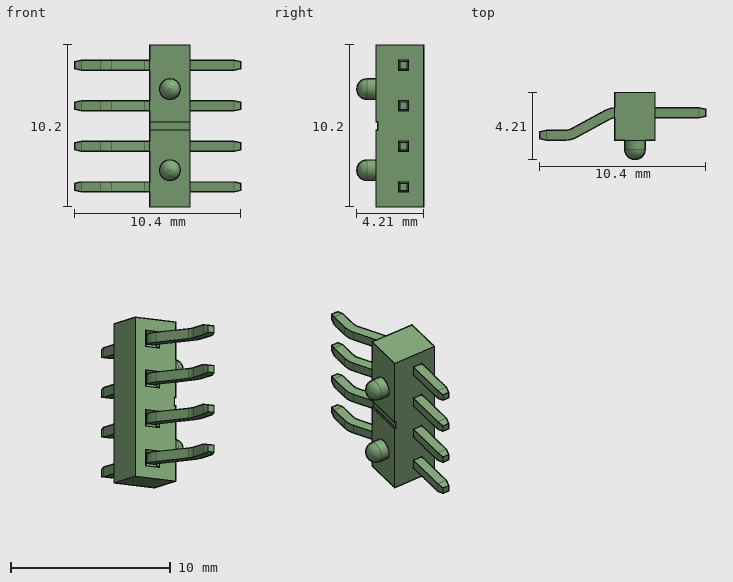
import cadquery as cq
import math

pin_pitch = 2.54
pin_count = 4
row_length = 10.16

housing_width = 2.54
housing_depth = 3.0

slot_height = 0.52
slot_depth = 0.1

peg_diameter = 1.3
peg_length = 1.21
peg_edge_radius = 0.63
peg_spacing = 2 * pin_pitch
peg_middle_z = -0.23

pin_size = 0.63
pin_tip_size = 0.45
pin_tip_length = 0.42
pin_axis_y = 1.73
pin_left_reach = 4.69
total_length = 10.4
foot_length = 1.6
bend_angle = math.radians(28.5)
bend_radius = 1.14

recess_size = 1.04
recess_depth = 0.21

housing_left = -housing_width / 2
housing_right = housing_width / 2
pin_left_end = housing_left - pin_left_reach
pin_right_end = pin_left_end + total_length
foot_axis_y = pin_size / 2
pin_heights = [(i - (pin_count - 1) / 2) * pin_pitch for i in range(pin_count)]
peg_heights = [peg_middle_z + side * peg_spacing / 2 for side in (-1, 1)]


def square_taper(start_x, end_x, start_size, end_size, axis_y, z):
    """Square section along X that changes evenly from one size to another."""
    return (
        cq.Workplane("YZ", origin=(start_x, axis_y, z))
        .rect(start_size, start_size)
        .workplane(offset=end_x - start_x)
        .rect(end_size, end_size)
        .loft(ruled=True)
    )


def make_peg(z):
    """Locating peg with a rounded end, standing out from the mounting face."""
    return (
        cq.Workplane("XZ", origin=(0, 0, z))
        .circle(peg_diameter / 2)
        .extrude(peg_length)
        .faces("<Y")
        .edges()
        .fillet(peg_edge_radius)
    )


def make_pin_opening(z):
    """Tapered recess in the -X face that narrows to the square hole for a pin."""
    recess_floor = housing_left + recess_depth
    recess = square_taper(housing_left, recess_floor, recess_size, pin_size, pin_axis_y, z)
    hole = square_taper(recess_floor, housing_right, pin_size, pin_size, pin_axis_y, z)
    return recess.union(hole)


def make_housing():
    """Block with two locating pegs, a slot across the mounting face and the pin openings."""
    body = cq.Workplane("XY").box(housing_width, housing_depth, row_length).translate((0, housing_depth / 2, 0))
    slot = cq.Workplane("XY").box(housing_width, 2 * slot_depth, slot_height)
    body = body.cut(slot)
    for z in peg_heights:
        body = body.union(make_peg(z))
    for z in pin_heights:
        body = body.cut(make_pin_opening(z))
    return body


def make_pin(z):
    """Square pin with an S-bend down to its foot and a tapered tip at each end."""
    arc_run = bend_radius * math.sin(bend_angle)
    arc_rise = bend_radius * (1 - math.cos(bend_angle))
    half_run = bend_radius * math.sin(bend_angle / 2)
    half_rise = bend_radius * (1 - math.cos(bend_angle / 2))
    slope_rise = pin_axis_y - foot_axis_y - 2 * arc_rise
    slope_run = slope_rise / math.tan(bend_angle)

    first_bend_x = pin_left_end + foot_length
    slope_start = (first_bend_x + arc_run, foot_axis_y + arc_rise)
    slope_end = (slope_start[0] + slope_run, pin_axis_y - arc_rise)
    last_bend_x = slope_end[0] + arc_run
    foot_shoulder_x = pin_left_end + pin_tip_length
    tail_shoulder_x = pin_right_end - pin_tip_length

    centre_line = (
        cq.Workplane("XY", origin=(0, 0, z))
        .moveTo(foot_shoulder_x, foot_axis_y)
        .lineTo(first_bend_x, foot_axis_y)
        .threePointArc((first_bend_x + half_run, foot_axis_y + half_rise), slope_start)
        .lineTo(*slope_end)
        .threePointArc((last_bend_x - half_run, pin_axis_y - half_rise), (last_bend_x, pin_axis_y))
        .lineTo(tail_shoulder_x, pin_axis_y)
    )
    shank = (
        cq.Workplane("YZ", origin=(foot_shoulder_x, foot_axis_y, z))
        .rect(pin_size, pin_size)
        .sweep(centre_line)
    )
    foot_tip = square_taper(pin_left_end, foot_shoulder_x, pin_tip_size, pin_size, foot_axis_y, z)
    tail_tip = square_taper(tail_shoulder_x, pin_right_end, pin_size, pin_tip_size, pin_axis_y, z)
    return shank.union(foot_tip).union(tail_tip)


housing = make_housing()
pins = [make_pin(z) for z in pin_heights]

result = cq.Compound.makeCompound([housing.solids().val(), *[pin.solids().val() for pin in pins]])